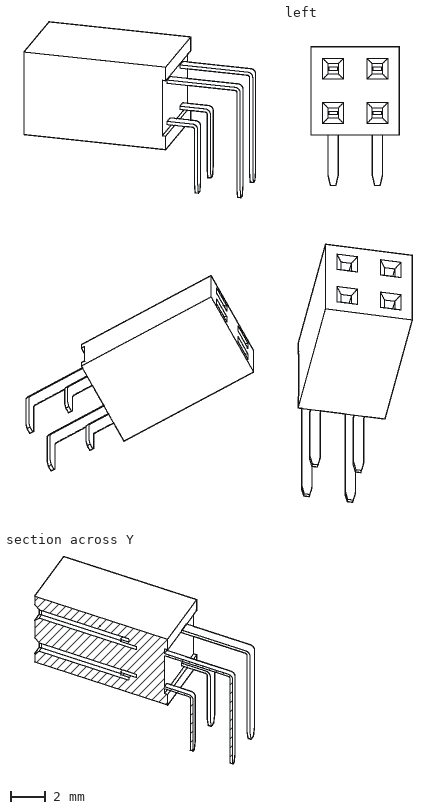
import cadquery as cq


pitch = 2.54
columns = 2
rows = 2

body_length = 8.5
body_width = columns * pitch
body_height = rows * pitch
rear_recess_depth = 0.2
rear_recess_height = 3.4

socket_size = 0.6
lead_in_depth = 0.3
socket_mouth = socket_size + 2 * lead_in_depth
socket_depth = 6.0
floor_step = 0.5

contact_width = 0.5
contact_height = 0.5

pin_thickness = 0.2
pin_width = 0.6
bend_outer_radius = 0.3
bend_inner_radius = bend_outer_radius - pin_thickness
pin_drop = 2.9
pin_end_z = -body_height / 2 - pin_drop
first_leg_x = 10.03
pin_root_x = body_length - 2 * rear_recess_depth
tip_length = 0.6
tip_width = 0.32

column_positions = [(i - (columns - 1) / 2) * pitch for i in range(columns)]
row_positions = [(i - (rows - 1) / 2) * pitch for i in range(rows)]


def box_between(x_start, x_end, width, height, y, z):
    """Box from x_start to x_end with its cross-section centred on (y, z)."""
    length = x_end - x_start
    return cq.Workplane("XY").box(length, width, height).translate((x_start + length / 2, y, z))


def make_housing():
    """Block with a shallow recess running across the full width of the rear face."""
    block = box_between(0, body_length, body_width, body_height, 0, 0)
    recess_start = body_length - rear_recess_depth
    return block.cut(box_between(recess_start, body_length, body_width, rear_recess_height, 0, 0))


def make_socket(y, z):
    """Cavity with a pyramidal mouth, a stepped floor and a contact end left standing."""
    lead_in = (
        cq.Workplane("YZ", origin=(0, y, z))
        .rect(socket_mouth, socket_mouth)
        .workplane(offset=lead_in_depth)
        .rect(socket_size, socket_size)
        .loft(combine=True)
    )
    bore = box_between(lead_in_depth, socket_depth, socket_size, socket_size, y, z)

    toward_middle = -1 if z > 0 else 1
    step_height = (socket_size - pin_thickness) / 2
    step_z = z + toward_middle * (pin_thickness + step_height) / 2
    deep_floor = box_between(socket_depth, socket_depth + floor_step, socket_size, step_height, y, step_z)

    contact_tip_x = socket_depth - contact_height
    contact = box_between(contact_tip_x, socket_depth, contact_width, pin_thickness, y, z)
    return lead_in.union(bore).union(deep_floor).cut(contact)


def make_pin(y, z, leg_x):
    """Flat strip leaving the rear face, bent down and tapered in width at its end."""
    half = pin_thickness / 2
    outer_x = leg_x + half
    inner_x = leg_x - half
    top_z = z + half
    under_z = z - half
    strip = (
        cq.Workplane("XZ", origin=(0, y + pin_width / 2, 0))
        .moveTo(pin_root_x, top_z)
        .lineTo(outer_x - bend_outer_radius, top_z)
        .radiusArc((outer_x, top_z - bend_outer_radius), bend_outer_radius)
        .lineTo(outer_x, pin_end_z)
        .lineTo(inner_x, pin_end_z)
        .lineTo(inner_x, under_z - bend_inner_radius)
        .radiusArc((inner_x - bend_inner_radius, under_z), -bend_inner_radius)
        .lineTo(pin_root_x, under_z)
        .close()
        .extrude(pin_width)
    )
    for side in (-1, 1):
        edge_y = y + side * pin_width / 2
        tip_y = y + side * tip_width / 2
        taper = (
            cq.Workplane("YZ", origin=(inner_x, 0, 0))
            .polyline([(edge_y, pin_end_z + tip_length), (edge_y, pin_end_z), (tip_y, pin_end_z)])
            .close()
            .extrude(pin_thickness)
        )
        strip = strip.cut(taper)
    return strip


result = make_housing()
for row, row_z in enumerate(row_positions):
    for column_y in column_positions:
        result = result.cut(make_socket(column_y, row_z))
        result = result.union(make_pin(column_y, row_z, first_leg_x + row * pitch))